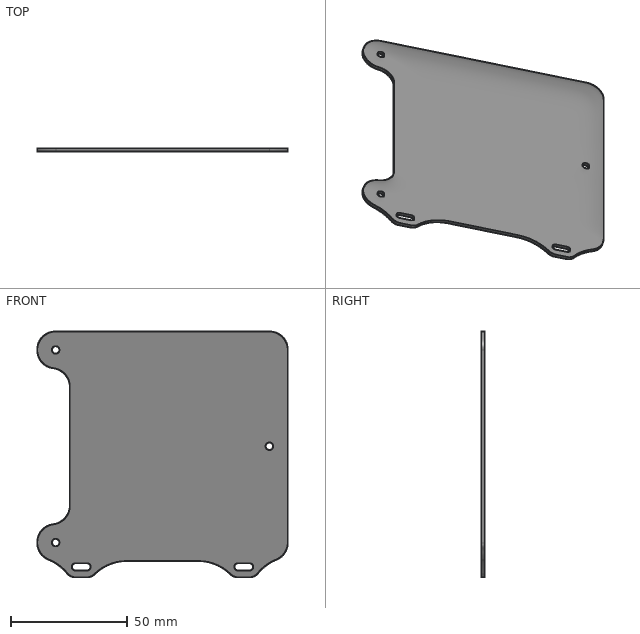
import cadquery as cq
import math

width = 108.0
height = 106.0
thickness = 1.5

corner_radius = 8.0
hole_diameter = 3.1
neck_x = 14.0

tab_drop = 7.0
tab_radius = 4.5
slot_length = 8.0
slot_height = 3.0
slot_offset = 19.0
flare_radius = 20.0

top_z = height - corner_radius
low_z = tab_drop + corner_radius
right_x = width - corner_radius
slot_half_span = (slot_length - slot_height) / 2
tab_outer = (slot_offset - slot_half_span, tab_radius)
tab_inner = (slot_offset + slot_half_span, tab_radius)
upper_ear = (corner_radius, top_z)
lower_ear = (corner_radius, low_z)


def toward(start, target, distance):
    """Point at a given distance from start in the direction of target."""
    span = math.dist(start, target)
    return tuple(s + (t - s) * distance / span for s, t in zip(start, target))


def arc_middle(center, first, last, radius):
    """Midpoint of the shorter arc between two points on a circle."""
    chord_middle = ((first[0] + last[0]) / 2, (first[1] + last[1]) / 2)
    return toward(center, chord_middle, radius)


def blend_center(first, first_distance, second, second_distance):
    """Point at the given distances from two centres, right of the line from first to second."""
    span = math.dist(first, second)
    along = (first_distance**2 - second_distance**2 + span**2) / (2 * span)
    across = math.sqrt(first_distance**2 - along**2)
    ux = (second[0] - first[0]) / span
    uz = (second[1] - first[1]) / span
    return (first[0] + along * ux + across * uz, first[1] + along * uz - across * ux)


def mirrored(point):
    """Reflect a point about the vertical centreline of the plate."""
    return (width - point[0], point[1])


neck_center_x = neck_x - corner_radius
neck_rise = math.sqrt((2 * corner_radius) ** 2 - (corner_radius - neck_center_x) ** 2)
upper_neck = (neck_center_x, top_z - neck_rise)
lower_neck = (neck_center_x, low_z + neck_rise)
upper_neck_joint = toward(upper_ear, upper_neck, corner_radius)
lower_neck_joint = toward(lower_ear, lower_neck, corner_radius)
upper_neck_end = (neck_x, upper_neck[1])
lower_neck_end = (neck_x, lower_neck[1])

outer_flare = blend_center(
    lower_ear, corner_radius + flare_radius, tab_outer, tab_radius + flare_radius
)
ear_joint = toward(lower_ear, outer_flare, corner_radius)
outer_joint = toward(tab_outer, outer_flare, tab_radius)
outer_flare_middle = arc_middle(outer_flare, ear_joint, outer_joint, flare_radius)

inner_flare_z = tab_drop - flare_radius
inner_flare_run = math.sqrt((tab_radius + flare_radius) ** 2 - (tab_radius - inner_flare_z) ** 2)
inner_flare = (tab_inner[0] + inner_flare_run, inner_flare_z)
inner_joint = toward(tab_inner, inner_flare, tab_radius)
bottom_start = (inner_flare[0], tab_drop)
inner_flare_middle = arc_middle(inner_flare, inner_joint, bottom_start, flare_radius)

tab_flat_start = (tab_outer[0], 0)
tab_flat_end = (tab_inner[0], 0)
tab_outer_middle = arc_middle(tab_outer, outer_joint, tab_flat_start, tab_radius)
tab_inner_middle = arc_middle(tab_inner, tab_flat_end, inner_joint, tab_radius)

right_low_start = mirrored(ear_joint)
right_low_end = (width, low_z)
right_low_middle = arc_middle((right_x, low_z), right_low_start, right_low_end, corner_radius)
right_top_start = (width, top_z)
right_top_end = (right_x, height)
right_top_middle = arc_middle((right_x, top_z), right_top_start, right_top_end, corner_radius)


def make_plate():
    """Plate outline, drawn counterclockwise from the lower ear."""
    outline = (
        cq.Workplane("XZ")
        .moveTo(*ear_joint)
        .threePointArc(outer_flare_middle, outer_joint)
        .threePointArc(tab_outer_middle, tab_flat_start)
        .lineTo(*tab_flat_end)
        .threePointArc(tab_inner_middle, inner_joint)
        .threePointArc(inner_flare_middle, bottom_start)
        .lineTo(*mirrored(bottom_start))
        .threePointArc(mirrored(inner_flare_middle), mirrored(inner_joint))
        .threePointArc(mirrored(tab_inner_middle), mirrored(tab_flat_end))
        .lineTo(*mirrored(tab_flat_start))
        .threePointArc(mirrored(tab_outer_middle), mirrored(outer_joint))
        .threePointArc(mirrored(outer_flare_middle), right_low_start)
        .threePointArc(right_low_middle, right_low_end)
        .lineTo(*right_top_start)
        .threePointArc(right_top_middle, right_top_end)
        .lineTo(corner_radius, height)
        .threePointArc((0, top_z), upper_neck_joint)
        .threePointArc(
            arc_middle(upper_neck, upper_neck_joint, upper_neck_end, corner_radius), upper_neck_end
        )
        .lineTo(*lower_neck_end)
        .threePointArc(
            arc_middle(lower_neck, lower_neck_end, lower_neck_joint, corner_radius), lower_neck_joint
        )
        .threePointArc((0, low_z), ear_joint)
        .close()
    )
    return outline.extrude(-thickness)


def make_openings():
    """Cutters for the three mounting holes and the two tab slots."""
    hole_points = [upper_ear, lower_ear, (right_x, (top_z + low_z) / 2)]
    slot_points = [(slot_offset, tab_radius), (width - slot_offset, tab_radius)]
    holes = cq.Workplane("XZ").pushPoints(hole_points).circle(hole_diameter / 2).extrude(-thickness)
    slots = cq.Workplane("XZ").pushPoints(slot_points).slot2D(slot_length, slot_height).extrude(-thickness)
    return holes.union(slots)


result = make_plate().cut(make_openings())